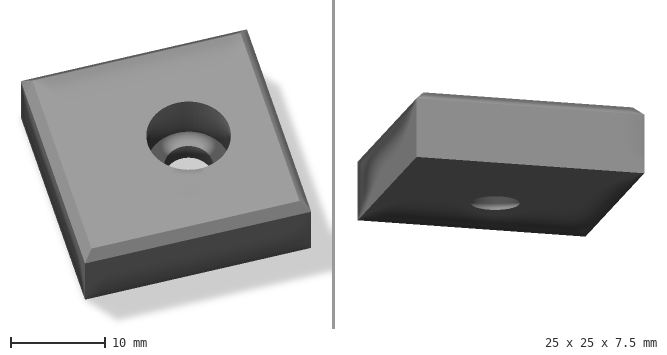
import cadquery as cq

side = 25.0
height = 7.5
top_chamfer = 1.0

hole_offset_y = 2.5
hole_diameter = 5.2
counterbore_diameter = 9.0
counterbore_depth = 5.4

block = (
    cq.Workplane("XY")
    .box(side, side, height, centered=(True, True, False))
    .faces(">Z")
    .chamfer(top_chamfer)
)

result = (
    block.faces(">Z")
    .workplane(origin=(0, 0, height))
    .center(0, hole_offset_y)
    .cboreHole(hole_diameter, counterbore_diameter, counterbore_depth)
)